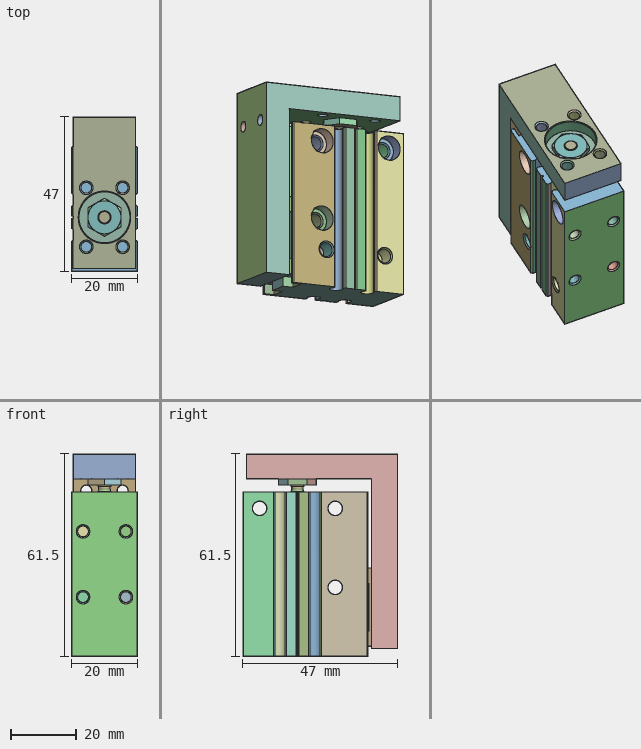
import cadquery as cq
import math

overall_height = 61.5
overall_depth = 47.0

housing_width = 20.0
housing_depth = 38.0
housing_height = 50.0
rear_edge_chamfer = 0.3

axis_y = 16.5

slot_offset = 5.35
slot_mouth_width = 4.0
slot_neck_width = 3.0
slot_chamfer = 0.5
slot_round_diameter = 4.0
slot_round_center_depth = 2.7

groove_mouth_width = 0.85
groove_floor_width = 0.35
groove_depth = 0.6

mount_diameter = 4.3
mount_chamfer_diameter = 5.15
counterbore_diameter = 7.5
counterbore_depth = 4.4
mount_offset = 11.5
mount_upper_z = 45.0
mount_lower_z = 21.0
blind_offset = 10.0
blind_z = 11.4
blind_depth = 6.0

tapped_diameter = 3.25
tapped_chamfer_diameter = 4.1
front_hole_spacing = 13.05
front_hole_z = [18.0, 38.0]
front_hole_depth = 6.0

channel_width = 17.5
channel_floor_y = 34.7
rail_width = 7.0

table_width = 19.0
plate_thickness = 7.5
plate_front_y = 1.0
leg_thickness = 8.0
leg_bottom_z = 2.35
plate_hole_spacing_x = 11.1
plate_hole_spacing_y = 17.95
leg_hole_spacing = 11.1
leg_hole_z = 50.4

pocket_diameter = 15.5
pocket_chamfer = 0.25
pocket_depth = 4.1

nut_across_flats = 10.0
nut_bottom_z = 52.1
nut_top_z = 59.0
nut_chamfer_height = 0.3
rod_diameter = 4.0
rod_tip_height = 0.2
rod_tip_diameter = 3.5
neck_diameter = 3.5
neck_top_z = 51.6
neck_bottom_z = 50.9
rod_shoulder_z = 50.2
rod_shoulder_diameter = 3.8
rod_engagement = 5.0

carriage_width = 17.0
carriage_bottom_z = 3.0
carriage_length = 23.85
end_cap_length = 4.7
carriage_clearance = 0.3
block_shoulder_y = 38.3
block_shoulder_step = 0.5

half_width = housing_width / 2
plate_bottom_z = overall_height - plate_thickness
leg_front_y = overall_depth - leg_thickness
rod_bottom_z = housing_height - rod_engagement


def box(x_size, y_range, z_range):
    """Box centred on X = 0 between the given Y and Z limits."""
    y_low, y_high = y_range
    z_low, z_high = z_range
    return (
        cq.Workplane("XY")
        .box(x_size, y_high - y_low, z_high - z_low, centered=(True, False, False))
        .translate((0, y_low, z_low))
    )


def drill(start, direction, diameter, depth, mouth_diameter=None):
    """Round cutter from a face point inwards, with an optional 45 degree mouth."""
    radius = diameter / 2
    start = cq.Vector(*start)
    direction = cq.Vector(*direction)
    cutter = cq.Solid.makeCylinder(radius, depth, start, direction)
    if mouth_diameter:
        mouth_radius = mouth_diameter / 2
        mouth = cq.Solid.makeCone(mouth_radius, radius, mouth_radius - radius, start, direction)
        cutter = cutter.fuse(mouth)
    return cutter


def cut_all(part, cutters):
    """Cut every cutter out of the part."""
    for cutter in cutters:
        part = part.cut(cq.Workplane(obj=cutter))
    return part


def sensor_slot(y):
    """Full-height slot in the -X side: chamfered mouth, neck and wider round bottom."""
    mouth = slot_mouth_width / 2
    wall = slot_neck_width / 2
    chamfer_x = -half_width + slot_chamfer
    center_x = -half_width + slot_round_center_depth
    neck = (
        cq.Workplane("XY")
        .moveTo(-half_width, y - mouth)
        .lineTo(chamfer_x, y - wall)
        .lineTo(center_x, y - wall)
        .lineTo(center_x, y + wall)
        .lineTo(chamfer_x, y + wall)
        .lineTo(-half_width, y + mouth)
        .close()
        .extrude(housing_height)
    )
    round_bottom = (
        cq.Workplane("XY")
        .center(center_x, y)
        .circle(slot_round_diameter / 2)
        .extrude(housing_height)
    )
    return neck.union(round_bottom)


def marking_groove():
    """Full-height groove in the -X side that narrows towards its floor."""
    mouth = groove_mouth_width / 2
    floor = groove_floor_width / 2
    floor_x = -half_width + groove_depth
    outline = [
        (-half_width, axis_y - mouth),
        (floor_x, axis_y - floor),
        (floor_x, axis_y + floor),
        (-half_width, axis_y + mouth),
    ]
    return cq.Workplane("XY").polyline(outline).close().extrude(housing_height)


def cut_side_channels(part):
    """Cut the slots and the groove into both sides of the housing."""
    channels = [
        sensor_slot(axis_y - slot_offset),
        sensor_slot(axis_y + slot_offset),
        marking_groove(),
    ]
    for channel in channels:
        part = part.cut(channel).cut(channel.mirror("YZ"))
    return part


def mounting_hole_cutters():
    """Counterbored through holes and blind holes, all entering from the -X side."""
    inward = (1, 0, 0)
    cutters = []
    through_places = [
        (axis_y - mount_offset, mount_upper_z),
        (axis_y + mount_offset, mount_upper_z),
        (axis_y + mount_offset, mount_lower_z),
    ]
    for y, z in through_places:
        seat = (-half_width + counterbore_depth, y, z)
        cutters.append(drill((-half_width, y, z), inward, counterbore_diameter, counterbore_depth))
        cutters.append(drill(seat, inward, mount_diameter, housing_width, mount_chamfer_diameter))
    for y in (axis_y - blind_offset, axis_y + blind_offset):
        start = (-half_width, y, blind_z)
        cutters.append(drill(start, inward, mount_diameter, blind_depth, mount_chamfer_diameter))
    return cutters


def front_hole_cutters():
    """Four blind tapped holes in the front face."""
    return [
        drill((side * front_hole_spacing / 2, 0, z), (0, 1, 0),
              tapped_diameter, front_hole_depth, tapped_chamfer_diameter)
        for side in (-1, 1)
        for z in front_hole_z
    ]


def make_housing():
    """Cylinder housing with the guide rail standing in its rear channel."""
    part = box(housing_width, (0, housing_depth), (0, housing_height))
    part = part.faces(">Y").edges("|Z").chamfer(rear_edge_chamfer)
    channel = box(channel_width, (channel_floor_y, housing_depth), (0, housing_height))
    rail = box(rail_width, (channel_floor_y, housing_depth), (0, housing_height))
    part = part.cut(channel.cut(rail))
    part = cut_side_channels(part)
    rod_bore = drill((0, axis_y, housing_height), (0, 0, -1), rod_diameter, rod_engagement)
    return cut_all(part, mounting_hole_cutters() + front_hole_cutters() + [rod_bore])


def make_bracket():
    """L-shaped table: the holed top plate and the rear leg."""
    plate = box(table_width, (plate_front_y, overall_depth), (plate_bottom_z, overall_height))
    leg = box(table_width, (leg_front_y, overall_depth), (leg_bottom_z, overall_height))
    down = (0, 0, -1)
    pocket_mouth = pocket_diameter + 2 * pocket_chamfer
    cutters = [drill((0, axis_y, overall_height), down, pocket_diameter, pocket_depth, pocket_mouth)]
    for side in (-1, 1):
        for end in (-1, 1):
            x = side * plate_hole_spacing_x / 2
            y = axis_y + end * plate_hole_spacing_y / 2
            cutters.append(drill((x, y, overall_height), down,
                                 tapped_diameter, plate_thickness, tapped_chamfer_diameter))
        leg_start = (side * leg_hole_spacing / 2, leg_front_y, leg_hole_z)
        cutters.append(drill(leg_start, (0, 1, 0), tapped_diameter, leg_thickness))
    return cut_all(plate.union(leg), cutters)


def make_nut():
    """Hexagon with two flats facing +X and -X and its top corners turned off."""
    corner_radius = nut_across_flats / 2 / math.cos(math.radians(30))
    flat_radius = nut_across_flats / 2
    height = nut_top_z - nut_bottom_z
    hexagon = (
        cq.Workplane("XY")
        .polygon(6, 2 * corner_radius)
        .extrude(height)
        .rotate((0, 0, 0), (0, 0, 1), 90)
    )
    turned = (
        cq.Workplane("XZ")
        .lineTo(corner_radius, 0)
        .lineTo(corner_radius, height - nut_chamfer_height)
        .lineTo(flat_radius, height)
        .lineTo(0, height)
        .close()
        .revolve()
    )
    return hexagon.intersect(turned).translate((0, axis_y, nut_bottom_z))


def make_rod():
    """Piston rod with a relief neck below the nut and a chamfered tip above it."""
    rod_radius = rod_diameter / 2
    neck_radius = neck_diameter / 2
    outline = [
        (0, rod_bottom_z),
        (rod_radius, rod_bottom_z),
        (rod_radius, rod_shoulder_z),
        (rod_shoulder_diameter / 2, rod_shoulder_z),
        (neck_radius, neck_bottom_z),
        (neck_radius, neck_top_z),
        (rod_radius, neck_top_z),
        (rod_radius, nut_top_z),
        (rod_tip_diameter / 2, nut_top_z + rod_tip_height),
        (0, nut_top_z + rod_tip_height),
    ]
    return cq.Workplane("XZ").polyline(outline).close().revolve().translate((0, axis_y, 0))


def make_carriage():
    """Carriage that straddles the rail; its block is narrower below the shoulder than its end caps."""
    bottom_y = channel_floor_y + carriage_clearance
    top_z = carriage_bottom_z + carriage_length
    z_range = (carriage_bottom_z, top_z)
    block_z = (carriage_bottom_z + end_cap_length, top_z - end_cap_length)
    block_side = box(carriage_width, (bottom_y, block_shoulder_y), block_z)
    block_core = box(carriage_width - 2 * block_shoulder_step, (bottom_y, block_shoulder_y), block_z)
    rail_passage = box(
        rail_width + 2 * carriage_clearance,
        (bottom_y, housing_depth + carriage_clearance),
        z_range,
    )
    carriage = box(carriage_width, (bottom_y, leg_front_y), z_range)
    return carriage.cut(block_side.cut(block_core)).cut(rail_passage)


def make_table():
    """The moving body: bracket, nut, rod and carriage joined into one solid."""
    return make_bracket().union(make_nut()).union(make_rod()).union(make_carriage())


housing = make_housing()
table = make_table()

result = cq.Compound.makeCompound([housing.val(), table.val()])